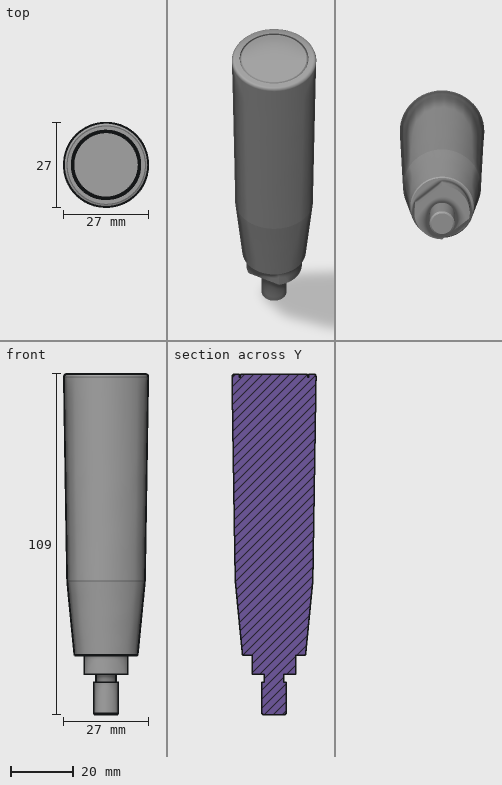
import cadquery as cq
import math

total_height = 109.0
thread_top = 10.5
collar_bottom = 13.0
grip_bottom = 19.0
grip_break = 43.0

thread_diameter = 8.0
thread_chamfer = 0.5
neck_diameter = 6.5

collar_diameter = 17.8
across_flats = 14.0

grip_bottom_diameter = 20.3
grip_break_diameter = 25.0
grip_top_diameter = 27.0
grip_bottom_chamfer = 0.3
grip_top_fillet = 1.0

cap_bore_diameter = 22.0
cap_diameter = 21.7
cap_chamfer = 0.4
cap_gap_depth = 1.0


def cylinder(diameter, bottom, top):
    """Solid cylinder on the Z axis between two heights."""
    return cq.Workplane("XY", origin=(0, 0, bottom)).circle(diameter / 2).extrude(top - bottom)


def make_stud():
    thread = cylinder(thread_diameter, 0, thread_top).faces("<Z").chamfer(thread_chamfer)
    return thread.union(cylinder(neck_diameter, thread_top, collar_bottom))


def make_collar():
    collar_height = grip_bottom - collar_bottom
    flats = cq.Workplane("XY", origin=(0, 0, collar_bottom)).box(
        across_flats, collar_diameter, collar_height, centered=(True, True, False)
    )
    return cylinder(collar_diameter, collar_bottom, grip_bottom).intersect(flats)


def make_grip():
    top_radius = grip_top_diameter / 2
    arc_offset = grip_top_fillet * math.sin(math.radians(45))
    arc_center = (top_radius - grip_top_fillet, total_height - grip_top_fillet)
    profile = (
        cq.Workplane("XZ")
        .moveTo(0, grip_bottom)
        .lineTo(grip_bottom_diameter / 2, grip_bottom)
        .lineTo(grip_break_diameter / 2, grip_break)
        .lineTo(top_radius, arc_center[1])
        .threePointArc(
            (arc_center[0] + arc_offset, arc_center[1] + arc_offset),
            (arc_center[0], total_height),
        )
        .lineTo(0, total_height)
        .close()
    )
    grip = profile.revolve(360, (0, 0, 0), (0, 1, 0))
    return grip.faces("<Z").chamfer(grip_bottom_chamfer)


def cut_cap_gap(part):
    gap_bottom = total_height - cap_gap_depth
    bore = cylinder(cap_bore_diameter, gap_bottom, total_height)
    cap = cylinder(cap_diameter, gap_bottom, total_height).faces(">Z").chamfer(cap_chamfer)
    return part.cut(bore.cut(cap))


result = cut_cap_gap(make_stud().union(make_collar()).union(make_grip()))